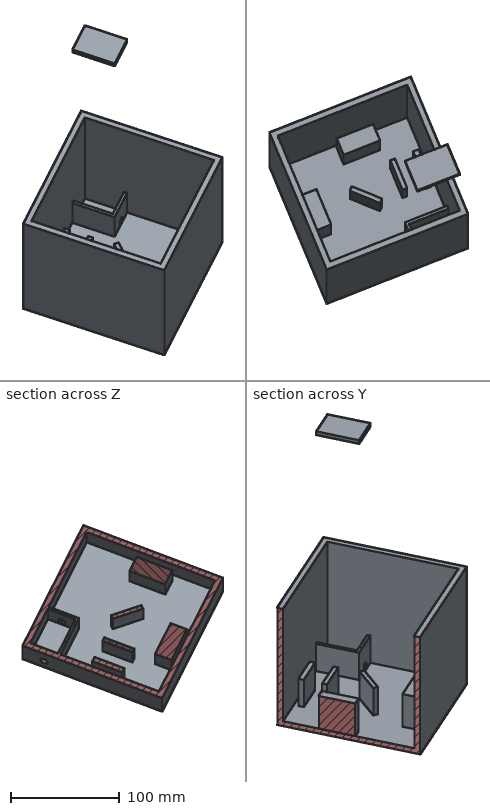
import cadquery as cq

TOTAL_HEIGHT = 271.0
HOUSING_SIDE = 140.0
HOUSING_HEIGHT = 130.0
WALL = 6.0
FLOOR = 6.0
INNER_HALF = HOUSING_SIDE / 2 - WALL

LID_LENGTH = 42.0
LID_WIDTH = 30.0
LID_THICKNESS = 4.0
LID_SHIFT_Y = 0.3
COMPARTMENT_HEIGHT = 30.0
COMPARTMENT_WALL = 3.0
CORNER_X = -INNER_HALF
CORNER_Y = INNER_HALF

CABLE_HOLE_DIAMETER = 7.0
CABLE_HOLE_Y = 48.5
CABLE_HOLE_Z = 10.8
INNER_HOLE_SHIFT_Y = 1.5

PLATE_WIDTH = 30.0
PLATE_HEIGHT = 30.0
PLATE_THICKNESS = 4.5
PLATE_ROW_Y = -10.3
UPRIGHT_PLATE_X = -34.0
RIB_X = -57.0
RIB_THICKNESS = 5.5
DIAGONAL_PLATE_X = 1.4
DIAGONAL_PLATE_Y = -3.8
DIAGONAL_ANGLE = 45

BLOCK_LENGTH = 36.0
BLOCK_DEPTH = 16.8
BLOCK_HEIGHT = 36.0
BLOCK_PLACES = [(-11.5, -53.5, 0), (50.5, -6.2, 90)]


def standing_box(length, width, height, x, y, z, turn=0):
    """A box centred on x, y, with its bottom face at z."""
    box = cq.Workplane("XY").box(length, width, height, centered=(True, True, False))
    return box.rotate((0, 0, 0), (0, 0, 1), turn).translate((x, y, z))


def cable_hole(start_x, length, y):
    """A cutting cylinder along +X at the height of the cable holes."""
    hole = cq.Workplane("YZ").circle(CABLE_HOLE_DIAMETER / 2).extrude(length)
    return hole.translate((start_x, y, CABLE_HOLE_Z))


def make_compartment():
    """Two walls that close off the corner, open at the top."""
    center_x = CORNER_X + LID_LENGTH / 2
    center_y = CORNER_Y - LID_WIDTH / 2
    outside = standing_box(LID_LENGTH, LID_WIDTH, COMPARTMENT_HEIGHT, center_x, center_y, FLOOR)
    inside = standing_box(
        LID_LENGTH - COMPARTMENT_WALL, LID_WIDTH - COMPARTMENT_WALL, COMPARTMENT_HEIGHT,
        center_x - COMPARTMENT_WALL / 2, center_y + COMPARTMENT_WALL / 2, FLOOR,
    )
    inner_wall_x = CORNER_X + LID_LENGTH - COMPARTMENT_WALL
    exit_hole = cable_hole(inner_wall_x, COMPARTMENT_WALL, CABLE_HOLE_Y + INNER_HOLE_SHIFT_Y)
    return outside.cut(inside).cut(exit_hole)


def make_housing():
    """The open box with its corner compartment, floor rib and cable hole."""
    shell = standing_box(HOUSING_SIDE, HOUSING_SIDE, HOUSING_HEIGHT, 0, 0, 0)
    cavity = standing_box(2 * INNER_HALF, 2 * INNER_HALF, HOUSING_HEIGHT, 0, 0, FLOOR)
    rib = standing_box(RIB_THICKNESS, PLATE_WIDTH, PLATE_HEIGHT, RIB_X, PLATE_ROW_Y, FLOOR)
    wall_hole = cable_hole(-HOUSING_SIDE / 2, WALL, CABLE_HOLE_Y)
    return shell.cut(cavity).union(make_compartment()).union(rib).cut(wall_hole)


def make_lid():
    """The compartment lid, lifted clear of the housing."""
    return standing_box(
        LID_LENGTH, LID_WIDTH, LID_THICKNESS,
        CORNER_X + LID_LENGTH / 2, CORNER_Y - LID_WIDTH / 2 + LID_SHIFT_Y,
        TOTAL_HEIGHT - LID_THICKNESS,
    )


def make_plate(x, y, turn):
    """A thin plate standing on the floor, its faces along Y before it is turned."""
    return standing_box(PLATE_THICKNESS, PLATE_WIDTH, PLATE_HEIGHT, x, y, FLOOR, turn)


def make_block(x, y, turn):
    """A block standing on the floor, its length along X before it is turned."""
    return standing_box(BLOCK_LENGTH, BLOCK_DEPTH, BLOCK_HEIGHT, x, y, FLOOR, turn)


housing = make_housing()
lid = make_lid()
upright_plate = make_plate(UPRIGHT_PLATE_X, PLATE_ROW_Y, 0)
diagonal_plate = make_plate(DIAGONAL_PLATE_X, DIAGONAL_PLATE_Y, DIAGONAL_ANGLE)
blocks = [make_block(x, y, turn) for x, y, turn in BLOCK_PLACES]

result = cq.Compound.makeCompound([
    housing.val(),
    lid.val(),
    upright_plate.val(),
    diagonal_plate.val(),
    *[block.val() for block in blocks],
])